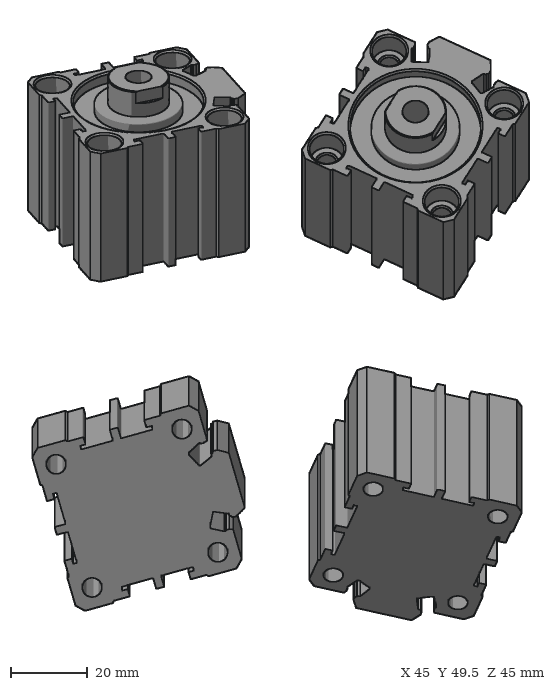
import cadquery as cq

width = 45.0
half_width = width / 2
body_height = 38.0
total_height = 45.0
corner_chamfer = 2.05

side_angles = (0, 90, 270)
relief_depth = 0.5
relief_half_length = 12.7
relief_taper = 0.5
rib_half_width = 1.1
edge_radius = 0.2
groove_mouth = 8.2
groove_reach = 9.65
lip_depth = 2.5
groove_depth = 3.5
groove_corner_radius = 0.3

rail_height = 4.5
rail_top_half_width = 7.55
rail_half_width = 9.15
rail_foot_half_width = 8.7
rail_flank_top = 1.8
rail_flank_bottom = 0.7
rail_foot_bevel = 0.4

slot_points = (
    (7.9, 0),
    (6.3, 3.7),
    (10.3, 5.8),
    (12.15, 2.4),
    (12.15, 2.1),
    (11.95, 1.85),
    (11.95, 1.0),
    (12.3, 0),
)
slot_inner_corner = slot_points[1]
slot_outer_corner = slot_points[2]
slot_inner_radius = 0.3
slot_outer_radius = 0.6

bolt_pitch = 34.0
bolt_diameter = 5.1
bolt_chamfer = 0.45
counterbore_diameter = 8.9
counterbore_depth = 7.0
counterbore_chamfer = 0.5

recess_diameter = 34.0
recess_depth = 3.1
recess_chamfer = 0.5
collar_diameter = 23.0
collar_drop = 0.55
collar_edge_radius = 0.45
collar_top = body_height - collar_drop

rod_diameter = 16.0
rod_insertion = 19.8
rod_bottom = collar_top - rod_insertion
rod_chamfer = 0.25
flat_width = 14.1
flat_height = 3.5
rod_hole_diameter = 6.8
rod_hole_depth = 13.0

edge_tolerance = 0.15


def edge_at(x, y):
    """Selector for the vertical edge through (x, y)."""
    return cq.selectors.BoxSelector(
        (x - edge_tolerance, y - edge_tolerance, 0),
        (x + edge_tolerance, y + edge_tolerance, body_height),
    )


def prism(points):
    """Extrude a closed outline over the full body height."""
    return cq.Workplane("XY").polyline(points).close().extrude(body_height)


def side_relief():
    """Shallow strip with tapered ends, taken off the -Y face."""
    face_y = -half_width
    end = relief_half_length + relief_taper / 2
    start = end - relief_taper
    return prism([
        (-end, face_y),
        (end, face_y),
        (start, face_y + relief_depth),
        (-start, face_y + relief_depth),
    ])


def side_groove(side):
    """L-shaped groove in the -Y face, between the rib and an overhanging lip; side is -1 or 1."""
    face_y = -half_width
    lip_y = face_y + lip_depth
    floor_y = face_y + groove_depth
    groove = prism([
        (side * rib_half_width, face_y),
        (side * rib_half_width, floor_y),
        (side * groove_reach, floor_y),
        (side * groove_reach, lip_y),
        (side * groove_mouth, lip_y),
        (side * groove_mouth, face_y),
    ])
    return groove.edges(edge_at(side * groove_reach, floor_y)).fillet(groove_corner_radius)


def cut_slotted_sides(body):
    relief_y = relief_depth - half_width
    for angle in side_angles:
        body = body.rotate((0, 0, 0), (0, 0, 1), angle)
        body = body.cut(side_relief())
        for side in (-1, 1):
            body = body.cut(side_groove(side))
        for side in (-1, 1):
            for x, y in (
                (side * rib_half_width, relief_y),
                (side * rib_half_width, groove_depth - half_width),
                (side * groove_mouth, relief_y),
            ):
                body = body.edges(edge_at(x, y)).fillet(edge_radius)
        body = body.rotate((0, 0, 0), (0, 0, 1), -angle)
    return body


def sensor_rail():
    """Rail with bevelled flanks, symmetric about the YZ plane."""
    right_side = [
        (rail_foot_half_width, half_width),
        (rail_foot_half_width, half_width + rail_foot_bevel),
        (rail_half_width, half_width + rail_flank_bottom),
        (rail_half_width, half_width + rail_flank_top),
        (rail_top_half_width, half_width + rail_height),
    ]
    left_side = [(-x, y) for x, y in reversed(right_side)]
    return prism(right_side + left_side)


def rail_slot(side):
    """Slanted slot beside the rail; side is -1 or 1."""
    slot = prism([(side * x, half_width - depth) for x, depth in slot_points])
    for corner, radius in (
        (slot_inner_corner, slot_inner_radius),
        (slot_outer_corner, slot_outer_radius),
    ):
        slot = slot.edges(edge_at(side * corner[0], half_width - corner[1])).fillet(radius)
    return slot


def cylinder(diameter, bottom, top):
    return cq.Workplane("XY").workplane(offset=bottom).circle(diameter / 2).extrude(top - bottom)


def chamfered_bore(diameter, bottom, top, chamfer):
    """Cutter for a bore whose mouth at the top is widened by a 45 degree chamfer."""
    radius = diameter / 2
    return (
        cq.Workplane("XZ")
        .polyline([
            (0, bottom),
            (radius, bottom),
            (radius, top - chamfer),
            (radius + chamfer, top),
            (0, top),
        ])
        .close()
        .revolve(360, (0, 0, 0), (0, 1, 0))
    )


def cut_bolt_holes(body):
    counterbore_floor = body_height - counterbore_depth
    counterbore = chamfered_bore(counterbore_diameter, counterbore_floor, body_height, counterbore_chamfer)
    through_hole = chamfered_bore(bolt_diameter, 0, counterbore_floor, bolt_chamfer)
    for x in (-bolt_pitch / 2, bolt_pitch / 2):
        for y in (-bolt_pitch / 2, bolt_pitch / 2):
            body = body.cut(counterbore.translate((x, y, 0)))
            body = body.cut(through_hole.translate((x, y, 0)))
    return body


def make_housing():
    body = cq.Workplane("XY").rect(width, width).extrude(body_height)
    body = body.edges("|Z").chamfer(corner_chamfer)
    body = cut_slotted_sides(body)
    body = body.union(sensor_rail())
    for side in (-1, 1):
        body = body.cut(rail_slot(side))
    body = cut_bolt_holes(body)

    recess_floor = body_height - recess_depth
    body = body.cut(chamfered_bore(recess_diameter, recess_floor, body_height, recess_chamfer))
    collar = cylinder(collar_diameter, recess_floor, collar_top).faces(">Z").edges().fillet(collar_edge_radius)
    body = body.union(collar)
    return body.cut(cylinder(rod_diameter, rod_bottom, collar_top))


def make_rod():
    rod = cylinder(rod_diameter, rod_bottom, total_height).faces(">Z").chamfer(rod_chamfer)
    flat_depth = (rod_diameter - flat_width) / 2
    for side in (-1, 1):
        flat_cutter = cq.Workplane("XY").box(flat_depth, rod_diameter, flat_height)
        flat_x = side * (flat_width + flat_depth) / 2
        rod = rod.cut(flat_cutter.translate((flat_x, 0, total_height - flat_height / 2)))
    return rod.cut(cylinder(rod_hole_diameter, total_height - rod_hole_depth, total_height))


housing = make_housing()
rod = make_rod()
result = cq.Compound.makeCompound([*housing.solids().vals(), *rod.solids().vals()])